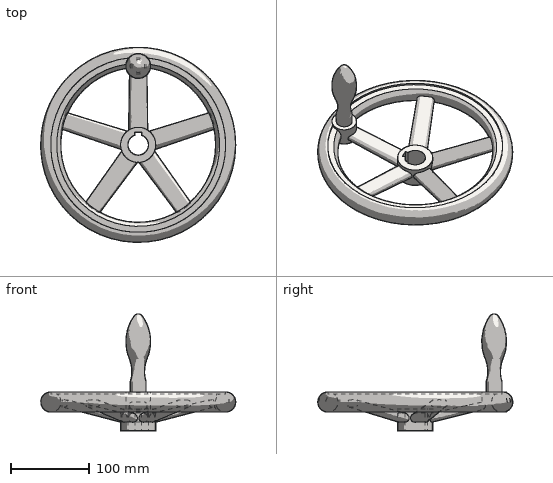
import cadquery as cq
import math

wheel_radius = 125.0
rim_section_radius = 13.0
rim_center_radius = wheel_radius - rim_section_radius
rim_top = 50.0
rim_center_height = rim_top - rim_section_radius
rim_bottom = rim_center_height - rim_section_radius
rim_step_depth = 2.5

hub_radius = 22.5
hub_height = 28.0
bore_radius = 13.0
keyway_width = 8.5
keyway_reach = 16.0

spoke_count = 5
first_spoke_angle = 90.0
spoke_flat_width = 13.0
spoke_start_radius = 15.0
spoke_start_thickness = 12.0
spoke_start_height = 15.5
spoke_end_radius = 107.0
spoke_end_thickness = 9.2
spoke_end_height = rim_center_height

handle_offset = 101.0
boss_radius = 15.8
shank_radius = 10.2
shank_top = 63.2
neck_radius = 8.2
neck_height = 75.5
flare_radius = 11.2
flare_top = 92.0
belly_radius = 16.0
belly_height = 116.0
cap_radius = 5.0
cap_base = 147.8
handle_top = 150.0


def make_rim():
    ring = (
        cq.Workplane("XZ")
        .center(rim_center_radius, rim_center_height)
        .circle(rim_section_radius)
        .revolve(360, (-rim_center_radius, 0), (-rim_center_radius, 1))
    )
    step = (
        cq.Workplane("XY")
        .workplane(offset=rim_top - rim_step_depth)
        .circle(rim_center_radius)
        .extrude(rim_step_depth)
    )
    return ring.cut(step)


def make_spoke():
    """One spoke along +X, lofted between two upright round-ended sections."""
    return (
        cq.Workplane("YZ")
        .workplane(offset=spoke_start_radius)
        .center(0, spoke_start_height)
        .slot2D(spoke_flat_width + spoke_start_thickness, spoke_start_thickness)
        .workplane(offset=spoke_end_radius - spoke_start_radius)
        .center(0, spoke_end_height - spoke_start_height)
        .slot2D(spoke_flat_width + spoke_end_thickness, spoke_end_thickness)
        .loft(ruled=True)
    )


def make_bore():
    hole = cq.Workplane("XY").circle(bore_radius).extrude(hub_height)
    keyway = (
        cq.Workplane("XY")
        .center(0, keyway_reach / 2)
        .rect(keyway_width, keyway_reach)
        .extrude(hub_height)
    )
    return hole.union(keyway)


def tangent_arc_middle(neck, end):
    """Midpoint of the arc that leaves the neck parallel to the axis and reaches the end point."""
    widening = end[0] - neck[0]
    rise = end[1] - neck[1]
    arc_radius = (widening**2 + rise**2) / (2 * widening)
    half_angle = math.atan2(widening, abs(rise))
    return (
        neck[0] + arc_radius * (1 - math.cos(half_angle)),
        neck[1] + math.copysign(arc_radius * math.sin(half_angle), rise),
    )


def make_handle():
    shank_end = (shank_radius, shank_top)
    neck = (neck_radius, neck_height)
    flare_end = (flare_radius, flare_top)
    cap_edge = (cap_radius, cap_base)
    cap_height = handle_top - cap_base
    cap_sphere_radius = (cap_radius**2 + cap_height**2) / (2 * cap_height)
    cap_middle_radius = cap_radius / 2
    cap_middle_drop = cap_sphere_radius - math.sqrt(cap_sphere_radius**2 - cap_middle_radius**2)
    return (
        cq.Workplane("XZ")
        .moveTo(0, rim_bottom)
        .lineTo(boss_radius, rim_bottom)
        .lineTo(boss_radius, rim_top)
        .lineTo(shank_radius, rim_top)
        .lineTo(*shank_end)
        .threePointArc(tangent_arc_middle(neck, shank_end), neck)
        .threePointArc(tangent_arc_middle(neck, flare_end), flare_end)
        .threePointArc((belly_radius, belly_height), cap_edge)
        .threePointArc((cap_middle_radius, handle_top - cap_middle_drop), (0, handle_top))
        .close()
        .revolve(360, (0, 0), (0, 1))
        .translate((0, handle_offset, 0))
    )


hub = cq.Workplane("XY").circle(hub_radius).extrude(hub_height)
result = make_rim().union(hub)
for index in range(spoke_count):
    spoke_angle = first_spoke_angle + index * 360 / spoke_count
    result = result.union(make_spoke().rotate((0, 0, 0), (0, 0, 1), spoke_angle))
result = result.union(make_handle()).cut(make_bore())